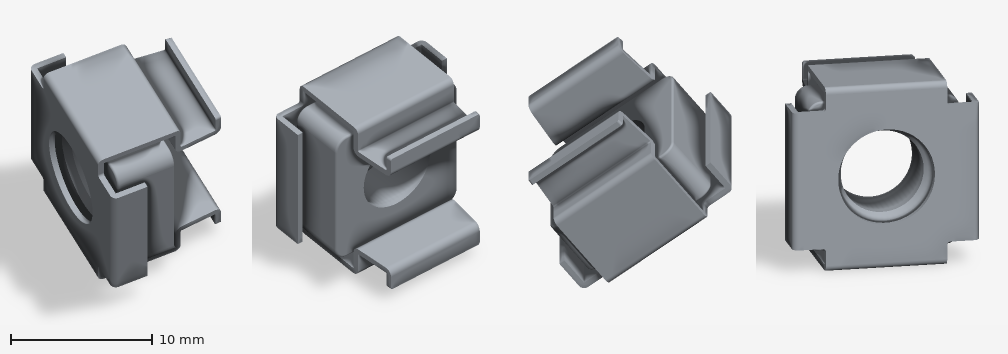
import cadquery as cq

CAGE_SIZE = 13.5
CAGE_DEPTH = 9.85
SHEET = 0.45
BEND_RADIUS = SHEET
PLATE_HOLE_DIAMETER = 6.99
HALF = CAGE_SIZE / 2

FLANGE_HEIGHT = 10.07
FLANGE_DEPTH = 2.73

ARM_WIDTH = 8.78
ARM_END_WIDTH = 8.05
STEP_BACK = 6.52
HOOK_INNER_Z = 4.28
HOOK_TIP_Z = 6.01
HOOK_INSIDE_RADIUS = 0.1
HOOK_OUTSIDE_RADIUS = SHEET + HOOK_INSIDE_RADIUS
TIP_CORNER_RADIUS = 0.18
NOTCH_RADIUS = 0.2

NUT_SIZE = 11.0
NUT_FRONT = 1.0
NUT_THICKNESS = 4.5
NUT_CORNER_RADIUS = 1.0
NUT_EDGE_RADIUS = 0.16
BORE_DIAMETER = 6.0
BORE_CHAMFER = (PLATE_HOLE_DIAMETER - BORE_DIAMETER) / 2


def make_flanges():
    """Front plate and both side flanges, as one U-shaped channel."""
    outer = cq.Workplane("XY").box(CAGE_SIZE, FLANGE_DEPTH, FLANGE_HEIGHT, centered=(True, False, True))
    outer = outer.edges("|Z and <Y").fillet(BEND_RADIUS)
    inside = cq.Workplane("XY").box(
        CAGE_SIZE - 2 * SHEET, FLANGE_DEPTH, FLANGE_HEIGHT, centered=(True, False, True)
    )
    return outer.cut(inside.translate((0, SHEET, 0)))


def make_upper_arm():
    """Upper half of the plate strip with its arm, step and upturned hook."""
    step_front = STEP_BACK - SHEET
    hook_outer_z = HOOK_INNER_Z + SHEET
    tip_front = CAGE_DEPTH - SHEET
    outline = [
        (0, 0),
        (0, HALF),
        (STEP_BACK, HALF),
        (STEP_BACK, hook_outer_z),
        (tip_front, hook_outer_z),
        (tip_front, HOOK_TIP_Z),
        (CAGE_DEPTH, HOOK_TIP_Z),
        (CAGE_DEPTH, HOOK_INNER_Z),
        (step_front, HOOK_INNER_Z),
        (step_front, HALF - SHEET),
        (SHEET, HALF - SHEET),
        (SHEET, 0),
    ]
    arm = cq.Workplane("YZ").polyline(outline).close().extrude(ARM_WIDTH / 2, both=True)
    bends = [
        (0, HALF, BEND_RADIUS),
        (STEP_BACK, HALF, BEND_RADIUS),
        (STEP_BACK, hook_outer_z, HOOK_INSIDE_RADIUS),
        (tip_front, hook_outer_z, HOOK_INSIDE_RADIUS),
        (CAGE_DEPTH, HOOK_INNER_Z, HOOK_OUTSIDE_RADIUS),
        (step_front, HOOK_INNER_Z, HOOK_OUTSIDE_RADIUS),
    ]
    for y, z, radius in bends:
        arm = arm.edges(cq.selectors.NearestToPointSelector((0, y, z))).fillet(radius)

    plan = [
        (-ARM_WIDTH / 2, 0),
        (ARM_WIDTH / 2, 0),
        (ARM_WIDTH / 2, step_front),
        (ARM_END_WIDTH / 2, CAGE_DEPTH),
        (-ARM_END_WIDTH / 2, CAGE_DEPTH),
        (-ARM_WIDTH / 2, step_front),
    ]
    arm = arm.intersect(cq.Workplane("XY").polyline(plan).close().extrude(HALF))

    for side in (-1, 1):
        tip_corner = (side * ARM_END_WIDTH / 2, CAGE_DEPTH - SHEET / 2, HOOK_TIP_Z)
        arm = arm.edges(cq.selectors.NearestToPointSelector(tip_corner)).fillet(TIP_CORNER_RADIUS)
    return arm


def make_cage():
    upper_arm = make_upper_arm()
    cage = make_flanges().union(upper_arm).union(upper_arm.mirror("XY"))
    for x in (-ARM_WIDTH / 2, ARM_WIDTH / 2):
        for z in (-FLANGE_HEIGHT / 2, FLANGE_HEIGHT / 2):
            notch_corner = (x, SHEET / 2, z)
            cage = cage.edges(cq.selectors.NearestToPointSelector(notch_corner)).fillet(NOTCH_RADIUS)
    hole = cq.Workplane("XZ").circle(PLATE_HOLE_DIAMETER / 2).extrude(-SHEET)
    return cage.cut(hole)


def make_nut():
    nut = cq.Workplane("XZ", origin=(0, NUT_FRONT, 0)).rect(NUT_SIZE, NUT_SIZE).extrude(-NUT_THICKNESS)
    nut = nut.edges("|Y").fillet(NUT_CORNER_RADIUS)
    nut = nut.faces("<Y or >Y").edges().fillet(NUT_EDGE_RADIUS)
    bore = cq.Workplane("XZ", origin=(0, NUT_FRONT, 0)).circle(BORE_DIAMETER / 2).extrude(-NUT_THICKNESS)
    nut = nut.cut(bore)
    return nut.faces("<Y").edges("%CIRCLE").edges(cq.selectors.RadiusNthSelector(-1)).chamfer(BORE_CHAMFER)


cage = make_cage()
nut = make_nut()
result = cq.Compound.makeCompound([cage.val(), nut.val()])